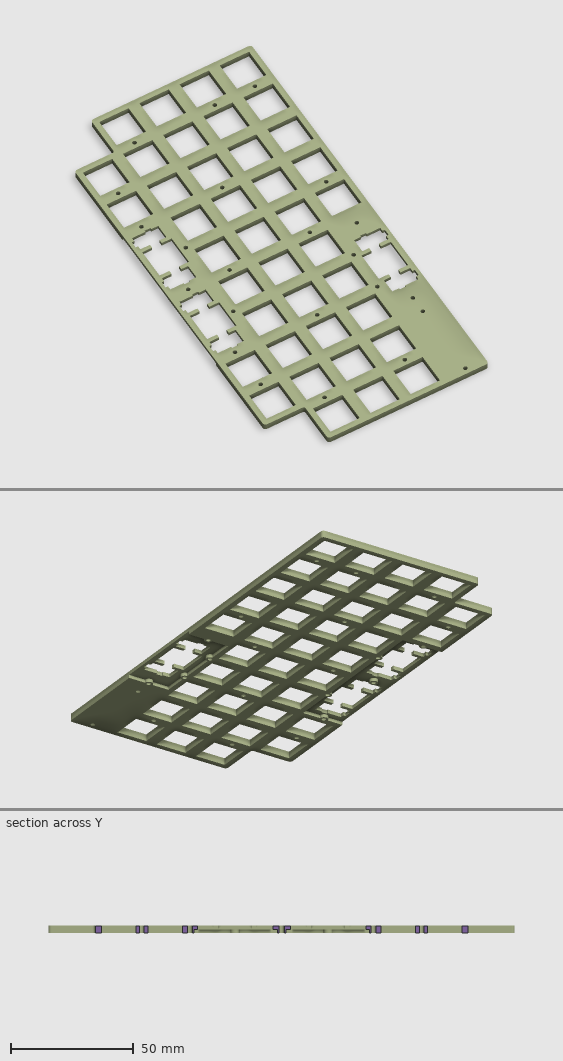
import cadquery as cq

KEY_PITCH = 19.0
COLUMNS = 10
ROWS = 5
LENGTH = COLUMNS * KEY_PITCH
WIDTH = ROWS * KEY_PITCH
THICKNESS = 3.0
BOTTOM_ROW_START = KEY_PITCH
BOTTOM_ROW_END = LENGTH - KEY_PITCH
OUTER_RADIUS = 1.3
INNER_RADIUS = 1.0

SWITCH_SIZE = 14.0
SWITCH_COLUMNS = [
    [1, 2, 7, 8],
    range(COLUMNS),
    range(COLUMNS),
    range(COLUMNS),
    range(5),
]

LOWER_WIDE_KEY_XS = [4 * KEY_PITCH, 6 * KEY_PITCH]
LOWER_WIDE_KEY_Y = KEY_PITCH / 2
UPPER_WIDE_KEY_X = 123.3
UPPER_WIDE_KEY_Y = WIDTH - KEY_PITCH / 2
STABILIZER_OFFSET = 12.0
STABILIZER_WIDTH = 6.7
STABILIZER_TOP = 5.5
STABILIZER_BOTTOM = -6.9
TAB_WIDTH = 3.0
TAB_BOTTOM = -8.0
NOTCH_REACH = 16.0
NOTCH_BOTTOM = -0.5
WIRE_SLOT_HALF = 2.3

POCKET_DEPTH = 1.43
POCKET_WIDTH = KEY_PITCH
LOWER_POCKET_CENTRE = LENGTH / 2
LOWER_POCKET_HALF = 37.5
UPPER_POCKET_HALF = 22.5

SCREW_DIAMETER = 2.0
BOSS_DIAMETER = 3.6
STABILIZER_SCREW_Y = 9.0

POCKET_SCREWS = [
    (LOWER_POCKET_CENTRE - LOWER_POCKET_HALF, STABILIZER_SCREW_Y),
    (LOWER_POCKET_CENTRE, STABILIZER_SCREW_Y),
    (LOWER_POCKET_CENTRE + LOWER_POCKET_HALF, STABILIZER_SCREW_Y),
    (4 * KEY_PITCH, POCKET_WIDTH),
    (6 * KEY_PITCH, POCKET_WIDTH),
    (UPPER_WIDE_KEY_X - UPPER_POCKET_HALF, UPPER_WIDE_KEY_Y),
    (UPPER_WIDE_KEY_X + UPPER_POCKET_HALF, UPPER_WIDE_KEY_Y),
    (6 * KEY_PITCH, WIDTH - POCKET_WIDTH),
    (7 * KEY_PITCH, WIDTH - POCKET_WIDTH),
]
GRID_SCREWS = [
    (2, 0), (8, 0),
    (1, 1), (5, 1), (9, 1),
    (3, 2), (7, 2),
    (1, 3), (5, 3), (9, 3),
    (1, 4), (4, 4),
]
BLANK_AREA_SCREW_XS = [153.7, 187.8]


def block(x0, x1, y0, y1, height=THICKNESS):
    return cq.Workplane("XY").box(x1 - x0, y1 - y0, height, centered=False).translate((x0, y0, 0))


def cell_centre(index):
    return (index + 0.5) * KEY_PITCH


def plate():
    upper = block(0, LENGTH, KEY_PITCH, WIDTH)
    lower = block(BOTTOM_ROW_START, BOTTOM_ROW_END, 0, WIDTH)
    body = upper.union(lower).clean()
    inner = [(BOTTOM_ROW_START, KEY_PITCH), (BOTTOM_ROW_END, KEY_PITCH)]
    outer = [
        (0, KEY_PITCH), (0, WIDTH), (LENGTH, WIDTH), (LENGTH, KEY_PITCH),
        (BOTTOM_ROW_START, 0), (BOTTOM_ROW_END, 0),
    ]
    for corners, radius in ((inner, INNER_RADIUS), (outer, OUTER_RADIUS)):
        for x, y in corners:
            edge = cq.selectors.NearestToPointSelector((x, y, THICKNESS / 2))
            body = body.edges("|Z").edges(edge).fillet(radius)
    return body


def cylinders(points, diameter, height):
    return cq.Workplane("XY").pushPoints(points).circle(diameter / 2).extrude(height)


def relief_pockets():
    lower = block(
        LOWER_POCKET_CENTRE - LOWER_POCKET_HALF,
        LOWER_POCKET_CENTRE + LOWER_POCKET_HALF,
        0, POCKET_WIDTH, POCKET_DEPTH,
    )
    upper = block(
        UPPER_WIDE_KEY_X - UPPER_POCKET_HALF,
        UPPER_WIDE_KEY_X + UPPER_POCKET_HALF,
        WIDTH - POCKET_WIDTH, WIDTH, POCKET_DEPTH,
    )
    bosses = cylinders(POCKET_SCREWS, BOSS_DIAMETER, POCKET_DEPTH)
    return lower.union(upper).cut(bosses)


def switch_openings():
    centres = [
        (cell_centre(column), cell_centre(row))
        for row, columns in enumerate(SWITCH_COLUMNS)
        for column in columns
    ]
    return cq.Workplane("XY").pushPoints(centres).rect(SWITCH_SIZE, SWITCH_SIZE).extrude(THICKNESS)


def wide_key_opening():
    """Switch opening with two stabilizers, centred on the origin, tabs toward -Y."""
    half = SWITCH_SIZE / 2
    opening = block(-half, half, -half, half)
    opening = opening.union(
        block(-STABILIZER_OFFSET, STABILIZER_OFFSET, -WIRE_SLOT_HALF, WIRE_SLOT_HALF)
    )
    opening = opening.union(block(-NOTCH_REACH, NOTCH_REACH, NOTCH_BOTTOM, WIRE_SLOT_HALF))
    body_half = STABILIZER_WIDTH / 2
    tab_half = TAB_WIDTH / 2
    for x in (-STABILIZER_OFFSET, STABILIZER_OFFSET):
        opening = opening.union(
            block(x - body_half, x + body_half, STABILIZER_BOTTOM, STABILIZER_TOP)
        )
        opening = opening.union(block(x - tab_half, x + tab_half, TAB_BOTTOM, 0))
    return opening


def screw_holes():
    points = list(POCKET_SCREWS)
    points += [(border * KEY_PITCH, cell_centre(row)) for border, row in GRID_SCREWS]
    points += [(x, UPPER_WIDE_KEY_Y) for x in BLANK_AREA_SCREW_XS]
    return cylinders(points, SCREW_DIAMETER, THICKNESS)


wide_key = wide_key_opening()
result = plate().cut(relief_pockets()).cut(switch_openings()).cut(screw_holes())
for key_x in LOWER_WIDE_KEY_XS:
    result = result.cut(wide_key.translate((key_x, LOWER_WIDE_KEY_Y, 0)))
turned_key = wide_key.rotate((0, 0, 0), (0, 0, 1), 180)
result = result.cut(turned_key.translate((UPPER_WIDE_KEY_X, UPPER_WIDE_KEY_Y, 0)))